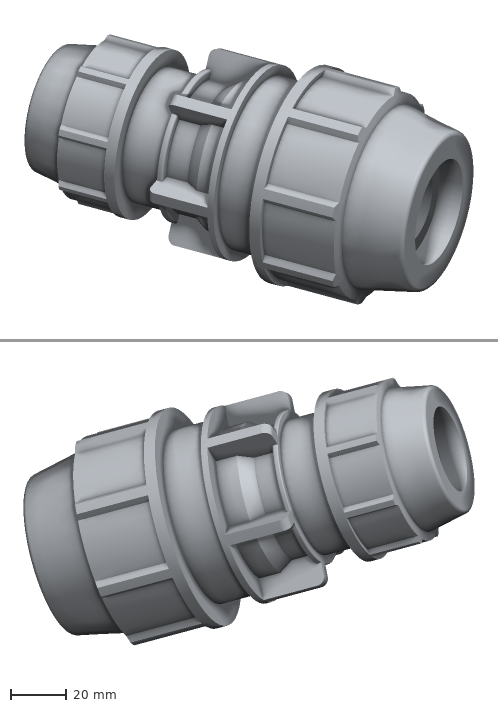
import cadquery as cq

length = 156.0

small_mouth_radius = 24.0
small_mouth_fillet = 1.5
small_cone_radius = 27.1
small_nut_start = 15.8
small_rib_start = 17.0
small_flange_start = 36.3
small_flange_end = 40.5
small_flange_radius = 64 / 2
small_grip_radius = 30.3
small_rib_radius = small_flange_radius
small_rib_foot_width = 4.7
small_rib_tip_width = 2.3

large_mouth_radius = 30.1
large_mouth_fillet = 1.9
large_cone_radius = 34.8
large_nut_start = 133.5
large_rib_start = 131.7
large_flange_start = 103.6
large_flange_end = 99.2
large_flange_radius = 82.0 / 2
large_grip_radius = 38.8
large_rib_radius = large_flange_radius
large_rib_foot_width = 6.9
large_rib_tip_width = 3.7

nut_rib_count = 8
rib_blend_depth = 0.8

neck_radius = 51.2 / 2
collar_start = 56.0
collar_end = 58.3
collar_radius = 29.0
collar_front_fillet = 0.5
collar_back_fillet = 1.0
waist_radius = 25.3
waist_end = 66.8
shoulder_start = 72.0
shoulder_radius = 28.7
stop_flange_start = 80.3
stop_flange_end = 82.8
stop_flange_radius = 73.8 / 2
hub_radius = 65.7 / 2

wing_count = 6
wing_thickness = 4.4
wing_tip_fillet = 3.3

bore_radius = 28.5 / 2
small_socket_radius = 32.0 / 2
small_socket_depth = 9.4
large_socket_radius = 40.0 / 2
large_socket_depth = 9.4


def revolve_about_x(outline):
    """Turn (x, radius) points, closed along the axis, into a solid of revolution."""
    start_x = outline[0][0]
    end_x = outline[-1][0]
    points = [(start_x, 0)] + outline + [(end_x, 0)]
    return cq.Workplane("XY").polyline(points).close().revolve(360, (0, 0, 0), (1, 0, 0))


def cylinder_along_x(start_x, end_x, radius):
    return revolve_about_x([(start_x, radius), (end_x, radius)])


def ribbed_grip(
    face_x, face_radius, grip_radius, rib_x, rib_radius, flange_x, foot_width, tip_width
):
    """Ribbed barrel of a nut; one shallow cone trims its free end and the rib ends."""
    depth = flange_x - face_x
    grip = cylinder_along_x(face_x, flange_x, grip_radius)
    flank_slope = (foot_width - tip_width) / 2 / (rib_radius - grip_radius)
    low_half = foot_width / 2 + rib_blend_depth * flank_slope
    high_half = tip_width / 2 - rib_blend_depth * flank_slope
    rib = (
        cq.Workplane("YZ", origin=(face_x, 0, 0))
        .moveTo(grip_radius - rib_blend_depth, -low_half)
        .lineTo(rib_radius + rib_blend_depth, -high_half)
        .lineTo(rib_radius + rib_blend_depth, high_half)
        .lineTo(grip_radius - rib_blend_depth, low_half)
        .close()
        .extrude(depth)
    )
    pitch = 360 / nut_rib_count
    for index in range(nut_rib_count):
        grip = grip.union(rib.rotate((0, 0, 0), (1, 0, 0), (index + 0.5) * pitch))
    envelope = revolve_about_x([
        (face_x, face_radius),
        (rib_x, rib_radius),
        (flange_x, rib_radius),
    ])
    return grip.intersect(envelope)


def small_nut():
    cone = revolve_about_x([(0, small_mouth_radius), (small_nut_start, small_cone_radius)])
    cone = cone.faces("<X").edges().fillet(small_mouth_fillet)
    grip = ribbed_grip(
        small_nut_start, small_cone_radius, small_grip_radius,
        small_rib_start, small_rib_radius, small_flange_start,
        small_rib_foot_width, small_rib_tip_width,
    )
    flange = cylinder_along_x(small_flange_start, small_flange_end, small_flange_radius)
    return cone.union(grip).union(flange)


def large_nut():
    cone = revolve_about_x([(large_nut_start, large_cone_radius), (length, large_mouth_radius)])
    cone = cone.faces(">X").edges().fillet(large_mouth_fillet)
    grip = ribbed_grip(
        large_nut_start, large_cone_radius, large_grip_radius,
        large_rib_start, large_rib_radius, large_flange_start,
        large_rib_foot_width, large_rib_tip_width,
    )
    flange = cylinder_along_x(large_flange_end, large_flange_start, large_flange_radius)
    return cone.union(grip).union(flange)


def coupling_body():
    collar = cylinder_along_x(collar_start, collar_end, collar_radius)
    collar = collar.faces("<X").edges().fillet(collar_front_fillet)
    collar = collar.faces(">X").edges().fillet(collar_back_fillet)
    turned = revolve_about_x([
        (small_flange_end, neck_radius),
        (collar_start, neck_radius),
        (collar_start, waist_radius),
        (waist_end, waist_radius),
        (shoulder_start, shoulder_radius),
        (stop_flange_start, shoulder_radius),
        (stop_flange_start, stop_flange_radius),
        (stop_flange_end, stop_flange_radius),
        (stop_flange_end, hub_radius),
        (large_flange_end, hub_radius),
    ])
    return turned.union(collar)


def wings():
    """Radial plates with a rounded corner at the collar end, trimmed to the stop flange diameter."""
    plate = (
        cq.Workplane("XY")
        .box(stop_flange_start - collar_start, 2 * stop_flange_radius, wing_thickness)
        .edges("|Z and <X")
        .fillet(wing_tip_fillet)
        .translate(((collar_start + stop_flange_start) / 2, 0, 0))
    )
    plates = plate
    for index in range(1, wing_count // 2):
        plates = plates.union(plate.rotate((0, 0, 0), (1, 0, 0), index * 360 / wing_count))
    return plates.intersect(cylinder_along_x(collar_start, stop_flange_start, stop_flange_radius))


def stepped_bore():
    return revolve_about_x([
        (0, small_socket_radius),
        (small_socket_depth, small_socket_radius),
        (small_socket_depth, bore_radius),
        (length - large_socket_depth, bore_radius),
        (length - large_socket_depth, large_socket_radius),
        (length, large_socket_radius),
    ])


result = coupling_body().union(wings()).union(small_nut()).union(large_nut()).cut(stepped_bore())